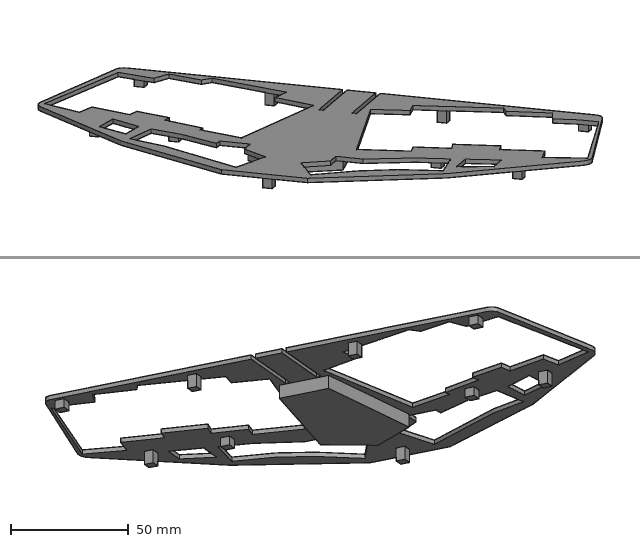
import cadquery as cq
import math

PLATE_LENGTH = 248.0
PLATE_WIDTH = 127.0
PLATE_THICKNESS = 2.0
TOTAL_HEIGHT = 8.0
BACK_Y = PLATE_WIDTH / 2
FRONT_Y = -PLATE_WIDTH / 2

BACK_CORNER_RADIUS = 4.2
SIDE_CORNER_RADIUS = 6.2

SIDE_LEAN = math.radians(14.7)
FRONT_SIDE_SLOPE = math.radians(36.5)

SIDE_CORNER_OVERHANG = SIDE_CORNER_RADIUS * (
    (math.cos(SIDE_LEAN) + math.sin(FRONT_SIDE_SLOPE)) / (1 + math.sin(FRONT_SIDE_SLOPE - SIDE_LEAN)) - 1
)
SIDE_CORNER_X = PLATE_LENGTH / 2 + SIDE_CORNER_OVERHANG
SIDE_CORNER_Y = 0.5
BACK_CORNER_X = SIDE_CORNER_X - (BACK_Y - SIDE_CORNER_Y) * math.tan(SIDE_LEAN)
BEND_X = 73.0
BEND_Y = SIDE_CORNER_Y - (SIDE_CORNER_X - BEND_X) * math.tan(FRONT_SIDE_SLOPE)
FRONT_CORNER_X = 19.4

SLOT_WIDTH = 2.0
SLOT_LENGTH = 31.0
SLOT_CENTER_X = 7.5

LONG_DROP = TOTAL_HEIGHT - PLATE_THICKNESS
SHORT_DROP = 4.0
LONG_POST_SIDE = 4.2
SHORT_POST_SIDE = 4.5
LONG_POST_CENTERS = [
    (-94.5, -9.0),
    (95.5, -9.0),
    (-38.7, 58.0),
    (38.7, 58.0),
    (-0.5, -56.0),
]
SHORT_POST_CENTERS = [
    (-97.8, 59.5),
    (101.7, 59.5),
    (-58.0, -11.0),
    (59.8, -11.0),
]

BLOCK_BACK_X = 12.0
BLOCK_BACK_Y = 31.8
BLOCK_SHOULDER_X = 21.3
BLOCK_SHOULDER_Y = -22.8
BLOCK_TIP_Y = -34.7

LEFT_KEY_WINDOW = [
    (-106.7, 56.0),
    (-89.5, 52.8),
    (-85.5, 60.8),
    (-69.7, 57.0),
    (-66.2, 61.0),
    (-29.8, 52.0),
    (-31.8, 43.2),
    (-12.7, 37.7),
    (-26.3, -16.9),
    (-47.0, -11.5),
    (-46.5, -8.7),
    (-65.5, -3.0),
    (-64.8, 1.0),
    (-81.0, 5.2),
    (-82.1, -0.2),
    (-101.0, 5.0),
    (-103.5, -4.0),
    (-121.5, 3.0),
]
LEFT_SMALL_WINDOW = [
    (-86.8, -8.7),
    (-73.0, -15.5),
    (-74.7, -27.3),
    (-88.5, -21.0),
]
LEFT_THUMB_WINDOW = [
    (-66.7, -17.0),
    (-51.5, -20.5),
    (-33.7, -28.0),
    (-33.5, -24.3),
    (-19.8, -24.3),
    (-19.8, -32.0),
    (-7.7, -39.7),
    (-14.6, -58.0),
    (-53.5, -38.7),
    (-70.7, -33.5),
]
RIGHT_KEY_WINDOW = [
    (109.7, 54.3),
    (101.0, 54.3),
    (89.8, 52.0),
    (86.8, 60.0),
    (67.5, 56.0),
    (65.0, 60.0),
    (27.3, 51.0),
    (28.5, 44.0),
    (12.2, 40.0),
    (25.3, -16.9),
    (48.1, -11.7),
    (47.0, -5.7),
    (63.0, -2.2),
    (61.5, 3.5),
    (81.6, 8.0),
    (82.9, 2.7),
    (101.7, 7.0),
    (103.7, -2.2),
    (122.3, 3.0),
]
RIGHT_SMALL_WINDOW = [
    (73.7, -15.5),
    (88.5, -11.7),
    (88.5, -21.3),
    (73.7, -27.0),
]
RIGHT_THUMB_WINDOW = [
    (67.7, -17.0),
    (70.2, -34.2),
    (51.4, -39.0),
    (36.2, -46.2),
    (18.9, -58.0),
    (9.5, -43.2),
    (20.3, -36.5),
    (20.3, -29.3),
    (32.5, -29.5),
    (53.0, -20.5),
]
WINDOWS = [
    LEFT_KEY_WINDOW,
    LEFT_SMALL_WINDOW,
    LEFT_THUMB_WINDOW,
    RIGHT_KEY_WINDOW,
    RIGHT_SMALL_WINDOW,
    RIGHT_THUMB_WINDOW,
]


def prism(outline, height):
    """Extrude a closed outline from Z = 0, downward if height is negative."""
    return cq.Workplane("XY").polyline(outline).close().extrude(height)


def make_plate():
    """Outer plate with rounded back and side corners."""
    right_half = [
        (BACK_CORNER_X, BACK_Y),
        (SIDE_CORNER_X, SIDE_CORNER_Y),
        (BEND_X, BEND_Y),
        (FRONT_CORNER_X, FRONT_Y),
    ]
    left_half = [(-x, y) for x, y in reversed(right_half)]
    plate = prism(right_half + left_half, PLATE_THICKNESS)
    rounded_corners = [
        (BACK_CORNER_X, BACK_Y, BACK_CORNER_RADIUS),
        (SIDE_CORNER_X, SIDE_CORNER_Y, SIDE_CORNER_RADIUS),
    ]
    for x, y, radius in rounded_corners:
        for side in (-1, 1):
            corner = cq.selectors.NearestToPointSelector((side * x, y, PLATE_THICKNESS / 2))
            plate = plate.edges("|Z").edges(corner).fillet(radius)
    return plate


def cut_windows(plate):
    """Cut every window through the plate."""
    for outline in WINDOWS:
        plate = plate.cut(prism(outline, PLATE_THICKNESS))
    return plate


def cut_slots(plate):
    """Cut the two back-edge slots through the plate."""
    slot_centers = [(side * SLOT_CENTER_X, BACK_Y - SLOT_LENGTH / 2) for side in (-1, 1)]
    slots = (
        cq.Workplane("XY")
        .pushPoints(slot_centers)
        .rect(SLOT_WIDTH, SLOT_LENGTH)
        .extrude(PLATE_THICKNESS)
    )
    return plate.cut(slots)


def make_posts(centers, side, drop):
    """Square posts hanging from the underside of the plate."""
    return cq.Workplane("XY").pushPoints(centers).rect(side, side).extrude(-drop)


def make_block():
    """Central block under the plate."""
    outline = [
        (-BLOCK_BACK_X, BLOCK_BACK_Y),
        (BLOCK_BACK_X, BLOCK_BACK_Y),
        (BLOCK_SHOULDER_X, BLOCK_SHOULDER_Y),
        (0, BLOCK_TIP_Y),
        (-BLOCK_SHOULDER_X, BLOCK_SHOULDER_Y),
    ]
    return prism(outline, -LONG_DROP)


plate = cut_slots(cut_windows(make_plate()))
result = (
    plate.union(make_block())
    .union(make_posts(LONG_POST_CENTERS, LONG_POST_SIDE, LONG_DROP))
    .union(make_posts(SHORT_POST_CENTERS, SHORT_POST_SIDE, SHORT_DROP))
)